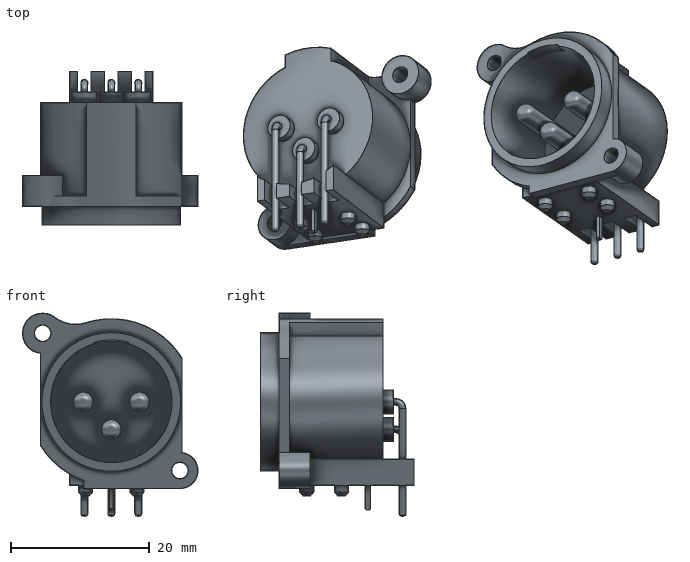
import cadquery as cq
import math


collar_radius = 10.0
collar_length = 2.7
body_radius = 10.2
body_back = 15.0
bore_radius = 8.75
floor_thickness = 3.0
bore_floor = body_back - floor_thickness

flange_radius = 12.0
strip_half_width = 3.6

recess_radius = 8.95
recess_width = 5.0
recess_depth = 2.0

flange_thickness = 1.5
flange_half_width = 10.235
flange_bottom = -12.5
flange_bottom_left = -3.97
lug_offset = 9.9
lug_direction = 135
upper_lug_radius = 2.9
lower_lug_radius = -flange_bottom - lug_offset
lug_length = 4.5
lug_hole_radius = 1.175
neck_radius = 5.0

base_half_width = 6.0
base_bottom = -12.05
base_back = 19.5
slot_width = 1.9

contacts = [(-4.05, -3.89, 0.0), (4.05, 3.89, 0.0), (0.0, 0.0, -3.97)]
pin_radius = 1.42
pin_flat_radius = 0.42
pin_tip_radius = pin_radius - pin_flat_radius
pin_front = -1.9
boss_radius = 1.75
boss_length = 1.5

lead_radius = 0.47
lead_bend_radius = 0.97
lead_stub = 0.35
tail_radius = 0.51
tail_tip_radius = 0.45
tail_bottom = -16.5

blade_thickness = 0.5
blade_width = 0.8
blade_y = 12.82
blade_bottom = -15.6
blade_chamfer = 0.2

peg_x = 3.7
peg_rows = [4.0, 9.03]
peg_radius = 1.02
peg_tip_radius = 0.52
peg_shoulder = -13.0
peg_bottom = -13.55


def cylinder_y(x, z, radius, y_start, y_end):
    """Cylinder parallel to Y between two Y positions."""
    return cq.Workplane(cq.Solid.makeCylinder(
        radius, y_end - y_start, cq.Vector(x, y_start, z), cq.Vector(0, 1, 0)))


def box_between(x_range, y_range, z_range):
    """Axis-aligned box given by its limits."""
    corner = cq.Vector(x_range[0], y_range[0], z_range[0])
    return cq.Workplane(cq.Solid.makeBox(
        x_range[1] - x_range[0], y_range[1] - y_range[0], z_range[1] - z_range[0], corner))


def neck_points():
    """Start, middle and end of the concave arc from the upper lug to the round flange edge."""
    lug_distance = lug_offset * math.sqrt(2)
    to_lug = upper_lug_radius + neck_radius
    to_axis = flange_radius + neck_radius
    axis_angle = math.acos((lug_distance**2 + to_axis**2 - to_lug**2) / (2 * lug_distance * to_axis))
    direction = math.radians(lug_direction) - axis_angle
    neck_x = to_axis * math.cos(direction)
    neck_z = to_axis * math.sin(direction)
    lug_share = upper_lug_radius / to_lug
    start = (
        -lug_offset + (neck_x + lug_offset) * lug_share,
        lug_offset + (neck_z - lug_offset) * lug_share,
    )
    middle = (neck_x, neck_z - neck_radius)
    axis_share = flange_radius / to_axis
    end = (neck_x * axis_share, neck_z * axis_share)
    return start, middle, end


def flange_plate():
    """Round plate with flat sides, a neck to the upper lug and a straight bottom edge."""
    flat_z = math.sqrt(flange_radius**2 - flange_half_width**2)
    notch_z = -math.sqrt(flange_radius**2 - flange_bottom_left**2)
    lower_arc_x = (flange_bottom_left - flange_half_width) / 2
    lower_arc_z = -math.sqrt(flange_radius**2 - lower_arc_x**2)
    neck_start, neck_middle, neck_end = neck_points()
    outline = (
        cq.Workplane("XZ")
        .moveTo(*neck_end)
        .threePointArc((0, flange_radius), (flange_half_width, flat_z))
        .lineTo(flange_half_width, -lug_offset)
        .lineTo(lug_offset, flange_bottom)
        .lineTo(flange_bottom_left, flange_bottom)
        .lineTo(flange_bottom_left, notch_z)
        .threePointArc((lower_arc_x, lower_arc_z), (-flange_half_width, -flat_z))
        .lineTo(-flange_half_width, lug_offset)
        .lineTo(*neck_start)
        .threePointArc(neck_middle, neck_end)
        .close()
    )
    return outline.extrude(-flange_thickness)


def top_strip():
    """Strip of flange radius that runs the length of the barrel."""
    bar = box_between((-strip_half_width, strip_half_width), (flange_thickness, body_back), (0, flange_radius))
    return cylinder_y(0, 0, flange_radius, flange_thickness, body_back).intersect(bar)


def base():
    """Comb under the barrel, hollowed to the barrel radius, with a slot behind each terminal."""
    block = box_between((-base_half_width, base_half_width), (flange_thickness, base_back), (base_bottom, 0))
    block = block.cut(cylinder_y(0, 0, body_radius, body_back, base_back))
    sides_top = -math.sqrt(body_radius**2 - base_half_width**2)
    for _, terminal_x, _ in contacts:
        slot_sides = (terminal_x - slot_width / 2, terminal_x + slot_width / 2)
        block = block.cut(box_between(slot_sides, (body_back, base_back), (base_bottom, sides_top)))
    return block


def contact_pin(x, z):
    """Mating pin with a rounded tip that ends in a small flat."""
    pin = cylinder_y(x, z, pin_radius, pin_front, body_back)
    return pin.faces("<Y").edges().fillet(pin_tip_radius)


def solder_terminal(x, z):
    """Rear boss with a lead that leaves it straight back and bends down into a tail."""
    boss_back = body_back + boss_length
    bend_start = boss_back + lead_stub
    tail_y = bend_start + lead_bend_radius
    tail_top = z - lead_bend_radius
    path = (
        cq.Workplane("YZ", origin=(x, 0, 0))
        .moveTo(body_back, z)
        .lineTo(bend_start, z)
        .radiusArc((tail_y, tail_top), lead_bend_radius)
    )
    lead = cq.Workplane("XZ", origin=(x, body_back, z)).circle(lead_radius).sweep(path)
    tail = (
        cq.Workplane("XY", origin=(x, tail_y, tail_bottom))
        .circle(tail_radius)
        .extrude(tail_top - tail_bottom)
        .faces("<Z").edges().fillet(tail_tip_radius)
    )
    return cylinder_y(x, z, boss_radius, body_back, boss_back).union(lead).union(tail)


def ground_blade():
    """Flat blade under the base with a chamfered end."""
    blade = box_between(
        (-blade_thickness / 2, blade_thickness / 2),
        (blade_y - blade_width / 2, blade_y + blade_width / 2),
        (blade_bottom, base_bottom),
    )
    return blade.faces("<Z").edges("|X").chamfer(blade_chamfer)


def locating_peg(x, y):
    """Round peg with a conical end."""
    half_profile = (
        cq.Workplane("XZ", origin=(x, y, 0))
        .moveTo(0, base_bottom)
        .lineTo(peg_radius, base_bottom)
        .lineTo(peg_radius, peg_shoulder)
        .lineTo(peg_tip_radius, peg_bottom)
        .lineTo(0, peg_bottom)
        .close()
    )
    return half_profile.revolve(360, (0, 0, 0), (0, 1, 0))


housing = cylinder_y(0, 0, body_radius, flange_thickness, body_back)
housing = housing.union(top_strip()).union(base())
housing = housing.union(flange_plate())
housing = housing.union(cylinder_y(0, 0, collar_radius, -collar_length, 0))

lugs = [
    (-lug_offset, lug_offset, upper_lug_radius),
    (lug_offset, -lug_offset, lower_lug_radius),
]
for lug_x, lug_z, lug_radius in lugs:
    housing = housing.union(cylinder_y(lug_x, lug_z, lug_radius, 0, lug_length))
for lug_x, lug_z, _ in lugs:
    housing = housing.cut(cylinder_y(lug_x, lug_z, lug_hole_radius, 0, lug_length))

housing = housing.cut(cylinder_y(0, 0, bore_radius, -collar_length, bore_floor))
recess = cylinder_y(0, 0, recess_radius, -collar_length, recess_depth - collar_length).intersect(
    box_between((-recess_width / 2, recess_width / 2), (-collar_length, bore_floor), (0, recess_radius)))
housing = housing.cut(recess)

result = housing
for pin_x, terminal_x, contact_z in contacts:
    result = result.union(contact_pin(pin_x, contact_z))
    result = result.union(solder_terminal(terminal_x, contact_z))
result = result.union(ground_blade())
for peg_y in peg_rows:
    for side in (-1, 1):
        result = result.union(locating_peg(side * peg_x, peg_y))